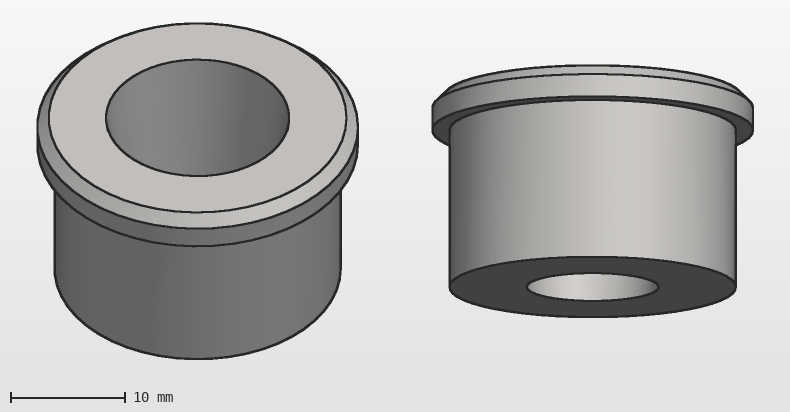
import cadquery as cq

flange_diameter = 28.0
body_diameter = 25.0
total_height = 17.0
flange_thickness = 3.0
flange_chamfer = 1.0

bore_bottom_diameter = 11.5
bore_top_diameter = 16.0

flange_bottom = total_height - flange_thickness
body = cq.Workplane("XY").circle(body_diameter / 2).extrude(flange_bottom)
flange = (
    cq.Workplane("XY", origin=(0, 0, flange_bottom))
    .circle(flange_diameter / 2)
    .extrude(flange_thickness)
    .faces(">Z")
    .edges()
    .chamfer(flange_chamfer)
)

bore = (
    cq.Workplane("XZ")
    .lineTo(bore_bottom_diameter / 2, 0)
    .lineTo(bore_top_diameter / 2, total_height)
    .lineTo(0, total_height)
    .close()
    .revolve(360, (0, 0, 0), (0, 1, 0))
)

result = body.union(flange).cut(bore)